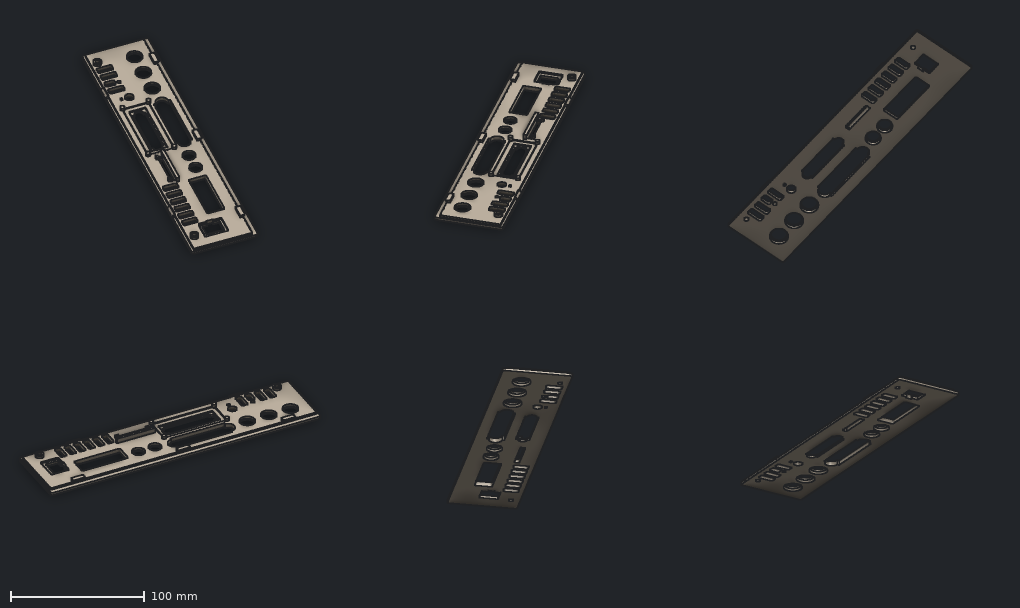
import cadquery as cq
plate_length = 227.0
plate_width = 53.3
flange_top = 2.3
body_top = 3.9
plate_corner_radius = 1.5
body_end_margin = 1.5
body_back_margin = 4.0
body_front_margin = 2.0
body_back = plate_width / 2 - body_back_margin
body_front = -plate_width / 2 + body_front_margin

raised_top = 6.0

latch_width = 10.0
latch_pitch = 88.5
latch_front = 20.0
latch_tip = 23.8
latch_root = 22.0
clip_width = 10.0
clip_half_spacing = 68.3
clip_top = 5.0
clip_top_depth = 0.5
clip_tip_height = 0.7
overall_width = 54.0
clip_tip = plate_width / 2 - overall_width

large_jack_diameter = 12.0
large_jack_pitch = 18.2
large_jack_count = 3
large_jack_start_x = -96.7
large_jack_y = 9.3
small_jack_diameter = 10.0
small_jack_xs = (17.0, 30.9)
small_jack_y = 8.6
jack_bevel_height = 1.8
jack_bevel_reach = 1.0
audio_diameter = 6.8
audio_center = (-57.7, -10.2)
audio_key_length = 2.0
audio_key_width = 1.4
audio_key_y = -16.5

connector_x = -20.9
upper_connector_y = 10.7
upper_connector_length = 45.6
upper_connector_width = 13.2
upper_lobe_diameter = 10.0
lower_connector_y = -9.3
lower_connector_length = 38.0
lower_connector_width = 10.2
lower_lobe_diameter = 7.3

frame_length = 53.0
frame_width = 21.0
frame_floor = 3.0
inset_length = 45.6
inset_width = 13.2
inset_floor = 1.8
post_diameter = 3.5

slot_width = 5.2
slot_pitch = 8.0
slot_bottom = -22.5
slot_corner_radius = 1.1
left_slot_start_x = -92.5
left_slot_top = -10.2
short_slot_top = -14.3
short_slot_index = 2
left_slot_count = 4
right_slot_start_x = 43.8
right_slot_top = -11.0
right_slot_count = 6
pin_hole_diameter = 3.0
pin_hole_center = (-75.5, -11.5)

window_left = 41.5
window_right = 80.4
window_front = -1.4
window_back_low = 12.0
window_back_high = 12.7
window_corner_radius = 1.0

socket_left = 88.3
socket_right = 103.3
socket_front = -11.8
socket_back = 6.8
socket_floor = 2.5
socket_corner_radius = 1.0
socket_opening_left = 89.2
socket_opening_right = 99.9
socket_opening_front = -9.5
socket_opening_back = 4.8
socket_notch_left = 87.6
socket_notch_front = -5.0
socket_notch_back = 0.0

wall_x = 24.3
wall_length = 32.2
wall_back = -8.2
wall_front = -10.2
wall_top = 8.0
lip_reach = 0.7
lip_height = 0.5
lip_taper = 0.5
wall_slot_length = 25.2
wall_slot_front = -14.0
wall_slot_corner_radius = 1.1
ledge_length = 28.1
ledge_floor = 3.0
ledge_front = -13.6
foot_length = 2.7
foot_spacing = 25.5
foot_back = -14.0
foot_front = -16.0

boss_diameter = 6.4
boss_half_spacing = 99.9
boss_y = -19.5
boss_hole_diameter = 3.5


def block(left, right, front, back, bottom, top):
    """Box between the given X, Y and Z limits."""
    size = (right - left, back - front, top - bottom)
    return cq.Workplane("XY").box(*size, centered=False).translate((left, front, bottom))


def centered_block(center, length, width, bottom, top):
    """Box centred on an XY point, between two heights."""
    x, y = center
    return block(x - length / 2, x + length / 2, y - width / 2, y + width / 2, bottom, top)


def cylinder(center, diameter, bottom, top):
    """Upright cylinder between two heights."""
    return cq.Workplane("XY", origin=(*center, bottom)).circle(diameter / 2).extrude(top - bottom)


def profile_along_x(points, center_x, length):
    """Closed (Y, Z) profile extruded along X, centred on center_x."""
    start = cq.Workplane("YZ", origin=(center_x - length / 2, 0, 0))
    return start.polyline(points).close().extrude(length)


def jack_hole(center, diameter):
    """Through-hole cutter with a bevel that widens it at the underside."""
    bevel = (
        cq.Workplane("XY", origin=(*center, 0))
        .circle(diameter / 2 + jack_bevel_reach)
        .workplane(offset=jack_bevel_height)
        .circle(diameter / 2)
        .loft()
    )
    return cylinder(center, diameter, 0, body_top).union(bevel)


def lobed_opening(center, length, width, lobe_diameter):
    """Connector cutter: a rectangle with a round lobe at each end."""
    x, y = center
    cutter = centered_block(center, length, width, 0, body_top)
    for side in (-1, 1):
        cutter = cutter.union(cylinder((x + side * length / 2, y), lobe_diameter, 0, body_top))
    return cutter


def make_plate():
    half_length = plate_length / 2
    half_width = plate_width / 2
    flange = block(-half_length, half_length, -half_width, half_width, 0, flange_top)
    flange = flange.edges("|Z").fillet(plate_corner_radius)
    body_end = half_length - body_end_margin
    return flange.union(block(-body_end, body_end, body_front, body_back, 0, body_top))


def add_latches(part):
    profile = [
        (latch_front, flange_top),
        (latch_front, raised_top),
        (latch_tip, raised_top),
        (latch_root, body_top),
        (latch_root, flange_top),
    ]
    for x in (-latch_pitch, 0, latch_pitch):
        part = part.union(profile_along_x(profile, x, latch_width))
    return part


def add_clips(part):
    profile = [
        (body_front, flange_top),
        (clip_tip, flange_top),
        (clip_tip, flange_top + clip_tip_height),
        (body_front - clip_top_depth, clip_top),
        (body_front, clip_top),
    ]
    for x in (-clip_half_spacing, clip_half_spacing):
        part = part.union(profile_along_x(profile, x, clip_width))
    return part


def cut_round_holes(part):
    for index in range(large_jack_count):
        center = (large_jack_start_x + index * large_jack_pitch, large_jack_y)
        part = part.cut(jack_hole(center, large_jack_diameter))
    for x in small_jack_xs:
        part = part.cut(jack_hole((x, small_jack_y), small_jack_diameter))
    part = part.cut(cylinder(audio_center, audio_diameter, 0, body_top))
    key_center = (audio_center[0], audio_key_y)
    return part.cut(centered_block(key_center, audio_key_length, audio_key_width, 0, body_top))


def cut_connectors(part):
    upper_center = (connector_x, upper_connector_y)
    lower_center = (connector_x, lower_connector_y)
    part = part.cut(
        lobed_opening(upper_center, upper_connector_length, upper_connector_width, upper_lobe_diameter)
    )
    part = part.cut(centered_block(lower_center, frame_length, frame_width, frame_floor, body_top))
    part = part.cut(centered_block(lower_center, inset_length, inset_width, inset_floor, body_top))
    part = part.cut(
        lobed_opening(lower_center, lower_connector_length, lower_connector_width, lower_lobe_diameter)
    )
    for x_side in (-1, 1):
        for y_side in (-1, 1):
            corner = (
                connector_x + x_side * frame_length / 2,
                lower_connector_y + y_side * frame_width / 2,
            )
            part = part.union(cylinder(corner, post_diameter, flange_top, raised_top))
    return part


def cut_slot(part, x, top):
    slot = block(x - slot_width / 2, x + slot_width / 2, slot_bottom, top, 0, body_top)
    return part.cut(slot.edges("|Z").fillet(slot_corner_radius))


def cut_slots(part):
    for index in range(left_slot_count):
        top = short_slot_top if index == short_slot_index else left_slot_top
        part = cut_slot(part, left_slot_start_x + index * slot_pitch, top)
    for index in range(right_slot_count):
        part = cut_slot(part, right_slot_start_x + index * slot_pitch, right_slot_top)
    return part.cut(cylinder(pin_hole_center, pin_hole_diameter, 0, body_top))


def cut_window(part):
    profile = [
        (window_front, 0),
        (window_back_low, 0),
        (window_back_high, body_top),
        (window_front, body_top),
    ]
    window = profile_along_x(profile, (window_left + window_right) / 2, window_right - window_left)
    corner_edges = window.edges("not #Z")
    return part.cut(corner_edges.fillet(window_corner_radius))


def cut_socket(part):
    recess = block(socket_left, socket_right, socket_front, socket_back, socket_floor, body_top)
    opening = block(
        socket_opening_left, socket_opening_right, socket_opening_front, socket_opening_back, 0, body_top
    )
    notch = block(
        socket_notch_left, socket_opening_left, socket_notch_front, socket_notch_back, 0, body_top
    )
    part = part.cut(recess.edges("|Z").fillet(socket_corner_radius))
    return part.cut(opening).cut(notch)


def add_wall(part):
    half_ledge = ledge_length / 2
    ledge = block(
        wall_x - half_ledge, wall_x + half_ledge, ledge_front, wall_front, ledge_floor, body_top
    )
    half_slot = wall_slot_length / 2
    slot = block(wall_x - half_slot, wall_x + half_slot, wall_slot_front, wall_front, 0, body_top)
    part = part.cut(ledge).cut(slot.edges("|Z and <Y").fillet(wall_slot_corner_radius))

    lip_front = wall_front - lip_reach
    wall_profile = [
        (wall_back, flange_top),
        (wall_back, wall_top),
        (lip_front, wall_top),
        (lip_front, wall_top - lip_height),
        (wall_front, wall_top - lip_height - lip_taper),
        (wall_front, flange_top),
    ]
    part = part.union(profile_along_x(wall_profile, wall_x, wall_length))

    for side in (-1, 1):
        foot_x = wall_x + side * foot_spacing / 2
        foot = block(
            foot_x - foot_length / 2, foot_x + foot_length / 2, foot_front, foot_back, body_top, raised_top
        )
        part = part.union(foot)
    return part


def add_bosses(part):
    for x in (-boss_half_spacing, boss_half_spacing):
        center = (x, boss_y)
        part = part.union(cylinder(center, boss_diameter, flange_top, raised_top))
        part = part.cut(cylinder(center, boss_hole_diameter, 0, raised_top))
    return part


part = make_plate()
part = add_latches(part)
part = add_clips(part)
part = cut_round_holes(part)
part = cut_connectors(part)
part = cut_slots(part)
part = cut_window(part)
part = cut_socket(part)
part = add_wall(part)
part = add_bosses(part)
result = part